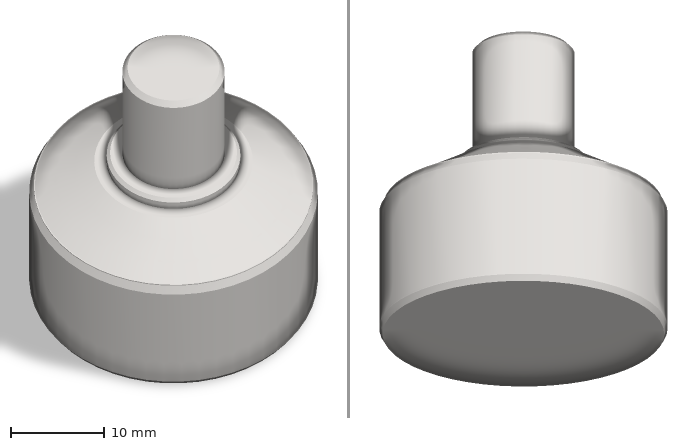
import cadquery as cq
import math

total_height = 33.0
collar_top = 20.0
cone_top = 18.7
rim_top = 15.0
base_top = 0.85

body_radius = 31.0 / 2
rim_radius = 30.0 / 2
cone_bottom_radius = 14.9
cone_top_radius = 8.52
collar_radius = 14.35 / 2
shaft_radius = 11.0 / 2

steep_angle = math.radians(60)
rim_height = 0.13
base_bevel_height = 0.65
collar_chamfer = 0.35
shaft_chamfer = 0.55

rim_bottom = rim_top - rim_height
shoulder_bevel_height = (body_radius - rim_radius) * math.tan(steep_angle)
shoulder_level = rim_bottom - shoulder_bevel_height
base_bottom_radius = body_radius - base_bevel_height / math.tan(steep_angle)


def revolve_about_z(half_profile):
    """Turn a closed (radius, height) outline around the Z axis."""
    return cq.Workplane("XZ").polyline(half_profile).close().revolve(360, (0, 0, 0), (0, 1, 0))


def make_base():
    """Flat disc with a steep bevel around its lower edge."""
    return revolve_about_z([
        (0, 0),
        (base_bottom_radius, 0),
        (body_radius, base_bevel_height),
        (body_radius, base_top),
        (0, base_top),
    ])


def make_housing():
    """Cylinder with a bevelled shoulder, a narrow flat-topped rim and a conical top."""
    return revolve_about_z([
        (0, base_top),
        (body_radius, base_top),
        (body_radius, shoulder_level),
        (rim_radius, rim_bottom),
        (rim_radius, rim_top),
        (cone_bottom_radius, rim_top),
        (cone_top_radius, cone_top),
        (0, cone_top),
    ])


def make_stud():
    """Chamfered shaft standing on a chamfered collar."""
    return revolve_about_z([
        (0, cone_top),
        (collar_radius, cone_top),
        (collar_radius, collar_top - collar_chamfer),
        (collar_radius - collar_chamfer, collar_top),
        (shaft_radius, collar_top),
        (shaft_radius, total_height - shaft_chamfer),
        (shaft_radius - shaft_chamfer, total_height),
        (0, total_height),
    ])


base = make_base()
housing = make_housing()
stud = make_stud()

result = cq.Compound.makeCompound([base.val(), housing.val(), stud.val()])